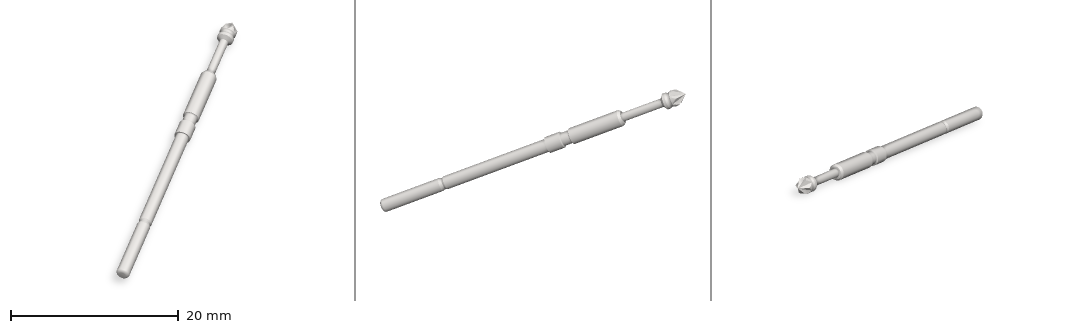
import cadquery as cq
import math

overall_length = 40.3

ridge_count = 6
head_radius = 1.0
ridge_end_station = 1.05
valley_end_station = 1.76

neck_radius = 0.88
neck_station = 2.12
rim_start_station = 2.37
rim_end_station = 2.73
head_rear_cone_length = 0.36

stem_radius = 0.53

body_radius = 1.0
body_start_station = 8.35
body_end_station = 15.15
body_front_chamfer_length = 0.32

barrel_radius = 0.81
ring_radius = 1.0
ring_start_station = 16.4
ring_end_station = 18.3
ring_front_cone_length = 0.1
crimp_radius = 0.68
crimp_start_station = 31.87
crimp_bottom_station = 32.11
crimp_end_station = 32.49
tail_rounding = 0.38


def make_star_tip():
    """Star-section pyramid with flat flanks, trimmed to the head radius."""
    ridge_radius = head_radius * valley_end_station / ridge_end_station
    corner_count = 2 * ridge_count
    corners = []
    for i in range(corner_count):
        radius = ridge_radius if i % 2 == 0 else head_radius
        angle = 2 * math.pi * i / corner_count
        corners.append(
            cq.Vector(radius * math.cos(angle), -valley_end_station, radius * math.sin(angle))
        )

    apex = cq.Vector(0, 0, 0)
    faces = [cq.Face.makeFromWires(cq.Wire.makePolygon(corners, close=True))]
    for i in range(corner_count):
        flank = [apex, corners[i], corners[(i + 1) % corner_count]]
        faces.append(cq.Face.makeFromWires(cq.Wire.makePolygon(flank, close=True)))
    pyramid = cq.Solid.makeSolid(cq.Shell.makeShell(faces))

    envelope = cq.Workplane("XZ").circle(head_radius).extrude(valley_end_station)
    return envelope.intersect(cq.Workplane(obj=pyramid))


def make_shaft():
    """Turned profile of everything behind the star tip, revolved about Y."""
    body_front_end = body_start_station + body_front_chamfer_length
    body_fillet = body_radius - barrel_radius
    arc_bulge = math.sqrt(0.5)
    neck_length = neck_station - valley_end_station
    neck_depth = head_radius - neck_radius
    neck_middle = (
        head_radius - neck_depth * arc_bulge,
        -(neck_station - neck_length * arc_bulge),
    )
    body_fillet_middle = (
        body_radius - body_fillet * arc_bulge,
        -(body_end_station + body_fillet * (1 - arc_bulge)),
    )
    tail_face_radius = barrel_radius - tail_rounding
    tail_rounding_start = overall_length - tail_rounding
    tail_middle = (
        tail_face_radius + tail_rounding * arc_bulge,
        -(tail_rounding_start + tail_rounding * arc_bulge),
    )

    profile = (
        cq.Workplane("XY")
        .moveTo(0, -valley_end_station)
        .lineTo(head_radius, -valley_end_station)
        .threePointArc(neck_middle, (neck_radius, -neck_station))
        .lineTo(head_radius, -rim_start_station)
        .lineTo(head_radius, -rim_end_station)
        .lineTo(stem_radius, -(rim_end_station + head_rear_cone_length))
        .lineTo(stem_radius, -body_start_station)
        .lineTo(barrel_radius, -body_start_station)
        .lineTo(body_radius, -body_front_end)
        .lineTo(body_radius, -body_end_station)
        .threePointArc(body_fillet_middle, (barrel_radius, -(body_end_station + body_fillet)))
        .lineTo(barrel_radius, -(ring_start_station - ring_front_cone_length))
        .lineTo(ring_radius, -ring_start_station)
        .lineTo(ring_radius, -ring_end_station)
        .lineTo(barrel_radius, -ring_end_station)
        .lineTo(barrel_radius, -crimp_start_station)
        .lineTo(crimp_radius, -crimp_bottom_station)
        .lineTo(barrel_radius, -crimp_end_station)
        .lineTo(barrel_radius, -tail_rounding_start)
        .threePointArc(tail_middle, (tail_face_radius, -overall_length))
        .lineTo(0, -overall_length)
        .close()
    )
    return profile.revolve(360, (0, 0, 0), (0, 1, 0))


result = make_shaft().union(make_star_tip())